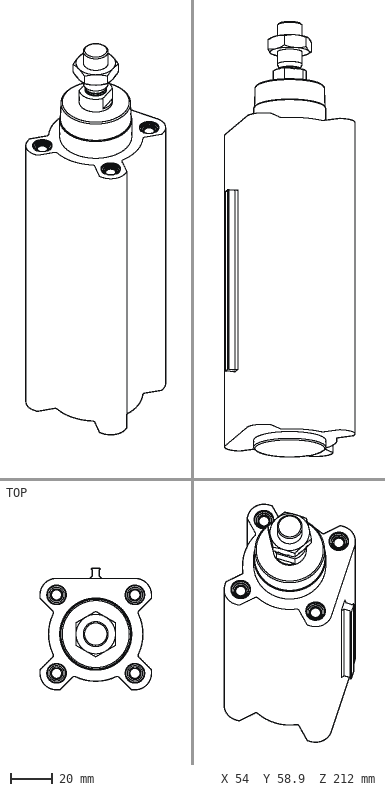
import cadquery as cq
import math

overall_height = 212.0
profile_bottom = 4.0
profile_top = 159.5
neck_ring_top = 170.2
neck_top = 180.5

profile_width = 54.0
profile_half_width = profile_width / 2
barrel_radius = 22.9
hole_spacing = 38.0
hole_offset = hole_spacing / 2
lobe_radius = profile_half_width - hole_offset
flank_offset = 9.7
flank_fillet = 1.0

flank_end = profile_half_width - flank_offset
flank_root_reach = math.sqrt(barrel_radius**2 / 2 - flank_offset**2 / 4)
root_far = flank_root_reach + flank_offset / 2
root_near = flank_root_reach - flank_offset / 2

boss_diameter = 35.0
bottom_boss_chamfer = 0.6
neck_ring_chamfer = 0.5
neck_base_diameter = 34.3
neck_top_diameter = 33.7
neck_chamfer = 0.6

screw_hole_mouth_diameter = 9.5
screw_hole_steps = [(9.0, 0.8), (7.5, 1.5), (6.0, 2.1), (4.9, 17.0)]
drill_tip_angle = 118.0

rail_bottom = 36.9
rail_top = 126.5
rail_height = 4.9
rail_stem_half_width = 1.7
rail_cap_half_width = 2.3
rail_cap_height = 0.8
rail_cap_chamfer = 0.5
rail_foot_half_width = 3.0
rail_foot_height = 1.0

rod_diameter = 16.0
rod_bottom = profile_top
rod_shoulder = 188.2
flats_width = 13.1
flats_bottom = 181.8
undercut_root_diameter = 10.5
undercut_flare_bottom = 188.5
undercut_flare_top = 189.2
undercut_diameter = 10.2
undercut_top = 189.7
thread_diameter = 12.0
thread_bottom = 191.8
thread_chamfer = 0.6

nut_across_flats = 19.0
nut_bottom = 198.0
nut_top = 204.3
nut_chamfer_angle = 30.0


def disc(diameter, bottom, top):
    return cq.Workplane("XY", origin=(0, 0, bottom)).circle(diameter / 2).extrude(top - bottom)


def turned(points):
    """Solid of revolution about Z from (radius, height) points."""
    return cq.Workplane("XZ").polyline(points).close().revolve(360, (0, 0, 0), (0, 1, 0))


def profile_outline():
    """Closed outline, drawn clockwise from the left end of the flat +Y side."""
    w = profile_half_width
    h = hole_offset
    r = barrel_radius
    lobe_mid = h + lobe_radius * math.sqrt(0.5)
    return (
        cq.Workplane("XY", origin=(0, 0, profile_bottom))
        .moveTo(-h, w)
        .lineTo(h, w)
        .threePointArc((lobe_mid, lobe_mid), (w, h))
        .lineTo(w, flank_end)
        .lineTo(root_far, root_near)
        .threePointArc((r, 0), (root_far, -root_near))
        .lineTo(w, -flank_end)
        .lineTo(w, -h)
        .threePointArc((lobe_mid, -lobe_mid), (h, -w))
        .lineTo(flank_end, -w)
        .lineTo(root_near, -root_far)
        .threePointArc((0, -r), (-root_near, -root_far))
        .lineTo(-flank_end, -w)
        .lineTo(-h, -w)
        .threePointArc((-lobe_mid, -lobe_mid), (-w, -h))
        .lineTo(-w, -flank_end)
        .lineTo(-root_far, -root_near)
        .threePointArc((-r, 0), (-root_far, root_near))
        .lineTo(-w, flank_end)
        .lineTo(-w, h)
        .threePointArc((-lobe_mid, lobe_mid), (-h, w))
        .close()
    )


def make_profile():
    """Extruded profile with both ends of every lobe flank rounded."""
    profile = profile_outline().extrude(profile_top - profile_bottom)
    mid_height = (profile_bottom + profile_top) / 2
    for x, y in [(profile_half_width, flank_end), (root_far, root_near)]:
        for side in (-1, 1):
            for edge_x, edge_y in [(side * x, y), (side * x, -y), (side * y, -x)]:
                edge = cq.selectors.NearestToPointSelector((edge_x, edge_y, mid_height))
                profile = profile.edges(edge).fillet(flank_fillet)
    return profile


def make_bottom_boss():
    boss = disc(boss_diameter, 0, profile_bottom)
    return boss.faces("<Z").edges().chamfer(bottom_boss_chamfer)


def make_neck():
    """Straight ring below a slightly tapered neck."""
    ring = disc(boss_diameter, profile_top, neck_ring_top)
    ring = ring.faces(">Z").edges().chamfer(neck_ring_chamfer)
    cone = turned([
        (0, neck_ring_top),
        (neck_base_diameter / 2, neck_ring_top),
        (neck_top_diameter / 2, neck_top),
        (0, neck_top),
    ])
    cone = cone.faces(">Z").edges().chamfer(neck_chamfer)
    return ring.union(cone)


def make_rail():
    """Rail with a flared foot and a wider cap, symmetric about X = 0."""
    foot_y = profile_half_width
    cap_y = foot_y + rail_height
    right_side = [
        (rail_foot_half_width, foot_y),
        (rail_stem_half_width, foot_y + rail_foot_height),
        (rail_stem_half_width, cap_y - rail_cap_height),
        (rail_cap_half_width, cap_y - rail_cap_chamfer),
        (rail_cap_half_width - rail_cap_chamfer, cap_y),
    ]
    left_side = [(-x, y) for x, y in reversed(right_side)]
    return (
        cq.Workplane("XY", origin=(0, 0, rail_bottom))
        .polyline(right_side + left_side)
        .close()
        .extrude(rail_top - rail_bottom)
    )


def make_screw_hole():
    """Stepped blind hole running down from the origin, with a 45 degree mouth and a drill tip."""
    first_diameter = screw_hole_steps[0][0]
    last_diameter = screw_hole_steps[-1][0]
    z = -(screw_hole_mouth_diameter - first_diameter) / 2
    points = [(0, 0), (screw_hole_mouth_diameter / 2, 0)]
    for diameter, depth in screw_hole_steps:
        points += [(diameter / 2, z), (diameter / 2, -depth)]
        z = -depth
    tip_depth = last_diameter / 2 / math.tan(math.radians(drill_tip_angle / 2))
    points.append((0, z - tip_depth))
    return turned(points)


def make_housing():
    housing = make_profile().union(make_bottom_boss()).union(make_neck()).union(make_rail())
    screw_hole = make_screw_hole()
    for x in (-hole_offset, hole_offset):
        for y in (-hole_offset, hole_offset):
            housing = housing.cut(screw_hole.translate((x, y, profile_top)))
    rod_bore = disc(rod_diameter, rod_bottom, neck_top)
    return housing.cut(rod_bore)


def make_rod():
    """Round rod with two wrench flats, an undercut and a plain threaded end."""
    shank = disc(rod_diameter, rod_bottom, flats_bottom)
    flats = disc(rod_diameter, flats_bottom, rod_shoulder).intersect(
        cq.Workplane("XY", origin=(0, 0, flats_bottom))
        .rect(flats_width, rod_diameter)
        .extrude(rod_shoulder - flats_bottom)
    )
    thread_radius = thread_diameter / 2
    stud = turned([
        (0, rod_shoulder),
        (undercut_root_diameter / 2, rod_shoulder),
        (undercut_root_diameter / 2, undercut_flare_bottom),
        (undercut_diameter / 2, undercut_flare_top),
        (undercut_diameter / 2, undercut_top),
        (thread_radius, thread_bottom),
        (thread_radius, overall_height - thread_chamfer),
        (thread_radius - thread_chamfer, overall_height),
        (0, overall_height),
    ])
    return shank.union(flats).union(stud)


def make_nut():
    """Hexagon nut with two corners on the Y axis and conically chamfered ends."""
    flat_radius = nut_across_flats / 2
    corner_radius = flat_radius / math.cos(math.pi / 6)
    corner_drop = (corner_radius - flat_radius) * math.tan(math.radians(nut_chamfer_angle))
    hexagon = (
        cq.Workplane("XY", origin=(0, 0, nut_bottom))
        .polygon(6, 2 * corner_radius)
        .extrude(nut_top - nut_bottom)
        .rotate((0, 0, 0), (0, 0, 1), 30)
    )
    chamfer_envelope = turned([
        (0, nut_bottom),
        (flat_radius, nut_bottom),
        (corner_radius, nut_bottom + corner_drop),
        (corner_radius, nut_top - corner_drop),
        (flat_radius, nut_top),
        (0, nut_top),
    ])
    bore = disc(thread_diameter, nut_bottom, nut_top)
    return hexagon.intersect(chamfer_envelope).cut(bore)


housing = make_housing()
rod = make_rod()
nut = make_nut()

result = cq.Compound.makeCompound([body.solids().val() for body in (housing, rod, nut)])